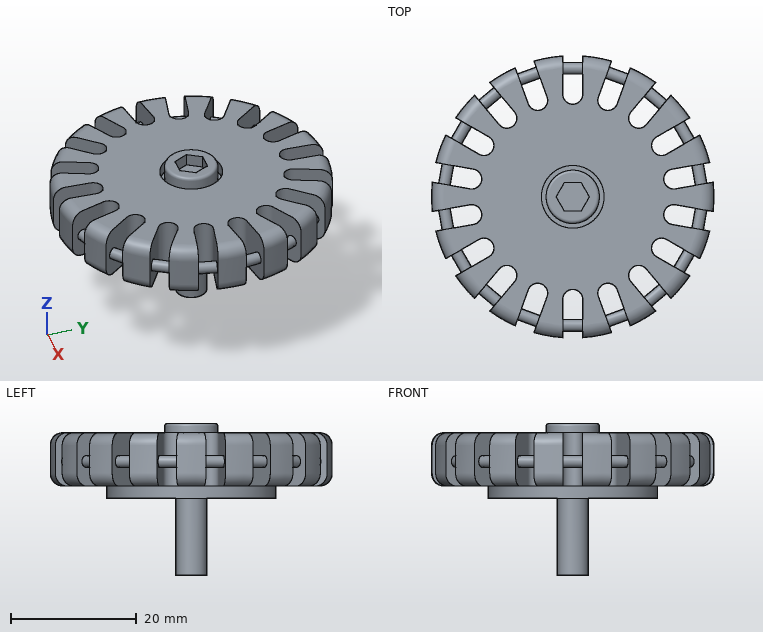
import cadquery as cq
import math

wheel_diameter = 44.95
wheel_thickness = 8.5
rim_fillet = 2.0

slot_count = 18
slot_width = 3.15
slot_inner_radius = 14.75

pin_diameter = 1.9
pin_circle_radius = 20.45
pin_height = 3.9

flange_diameter = 27.0
flange_thickness = 2.0
shaft_diameter = 5.0
shaft_length = 12.25

recess_diameter = 10.0
recess_depth = 2.0
head_diameter = 8.5
head_rise = 1.5
head_fillet = 0.5
socket_across_flats = 4.6
socket_depth = 2.0

wheel_radius = wheel_diameter / 2
slot_pitch = 360 / slot_count
first_slot_angle = 90
slot_angles = [first_slot_angle + i * slot_pitch for i in range(slot_count)]


def turn_about_z(shape, angle):
    return shape.rotate((0, 0, 0), (0, 0, 1), angle)


def make_slot_cutter():
    """Cutter for the slot along +X, running out past the rim."""
    arc_center = slot_inner_radius + slot_width / 2
    half_width = slot_width / 2
    return (
        cq.Workplane("XY")
        .moveTo(wheel_diameter, half_width)
        .lineTo(arc_center, half_width)
        .threePointArc((slot_inner_radius, 0), (arc_center, -half_width))
        .lineTo(wheel_diameter, -half_width)
        .close()
        .extrude(wheel_thickness)
    )


def make_pin():
    """One pin crossing the slot that points along +X."""
    pin_length = 2 * pin_circle_radius * math.tan(math.pi / slot_count)
    return (
        cq.Workplane("XZ", origin=(pin_circle_radius, pin_length / 2, pin_height))
        .circle(pin_diameter / 2)
        .extrude(pin_length)
    )


def make_wheel():
    wheel = cq.Workplane("XY").circle(wheel_radius).extrude(wheel_thickness)
    wheel = wheel.edges("%CIRCLE").fillet(rim_fillet)
    slot = make_slot_cutter()
    for angle in slot_angles:
        wheel = wheel.cut(turn_about_z(slot, angle))
    pin = make_pin()
    for angle in slot_angles:
        wheel = wheel.union(turn_about_z(pin, angle))
    recess = (
        cq.Workplane("XY", origin=(0, 0, wheel_thickness - recess_depth))
        .circle(recess_diameter / 2)
        .extrude(recess_depth)
    )
    return wheel.cut(recess)


def make_flange_and_shaft():
    flange = cq.Workplane("XY").circle(flange_diameter / 2).extrude(-flange_thickness)
    shaft_bottom = -(flange_thickness + shaft_length)
    shaft = (
        cq.Workplane("XY", origin=(0, 0, shaft_bottom))
        .circle(shaft_diameter / 2)
        .extrude(shaft_length)
    )
    return flange.union(shaft)


def make_screw_head():
    socket_across_corners = socket_across_flats / math.cos(math.pi / 6)
    head = (
        cq.Workplane("XY", origin=(0, 0, wheel_thickness - recess_depth))
        .circle(head_diameter / 2)
        .extrude(recess_depth + head_rise)
    )
    head = head.faces(">Z").edges().fillet(head_fillet)
    return head.faces(">Z").workplane().polygon(6, socket_across_corners).cutBlind(-socket_depth)


result = make_wheel().union(make_flange_and_shaft()).union(make_screw_head())